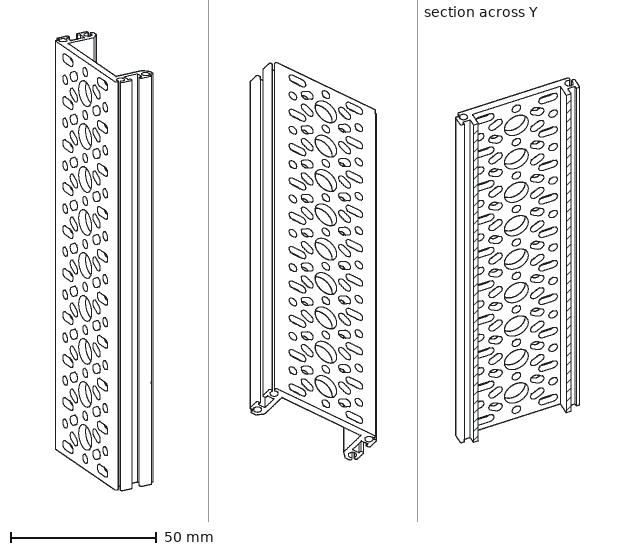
import cadquery as cq
import math

LENGTH = 152.0
WIDTH = 45.0
DEPTH = 15.0

PLATE_THICKNESS = 2.7
LEG_WIDTH = 6.0
LEG_END_CHAMFER = 2.1
EDGE_RADIUS = 0.5

SLOT_DEPTH = 4.1
SLOT_INNER_WIDTH = 5.3
SLOT_MOUTH_WIDTH = 3.2
LIP_THICKNESS = 1.4

CHANNEL_DIAMETER = 2.7
CHANNEL_INSET = 2.6
CORNER_NOTCH = 1.5
GAP_WIDTH = 0.8

BORE_COUNT = 9
PITCH = LENGTH / (BORE_COUNT + 0.5)
BORE_DIAMETER = 9.0
SCREW_DIAMETER = 3.2
FLAT_SLOT_TRAVEL = 3.8
RADIAL_SLOT_TRAVEL = 2.1
SLOT_TILT = 30.0

CIRCLE_RADIUS = PITCH / 2
SIDE_HOLE_X = CIRCLE_RADIUS * 2 * math.cos(math.radians(SLOT_TILT))


def bar(x_min, x_max, y_min, y_max):
    """Full-length rectangular bar between the given X and Y limits."""
    return cq.Workplane("XY").box(x_max - x_min, y_max - y_min, LENGTH).translate(
        ((x_min + x_max) / 2, (y_min + y_max) / 2, 0)
    )


def half_blank():
    """Right half of the U-shaped extrusion, with the inner edge of the leg end chamfered."""
    inner_x = WIDTH / 2 - LEG_WIDTH
    front_y = -DEPTH / 2
    back_y = DEPTH / 2
    outline = [
        (0, front_y),
        (WIDTH / 2, front_y),
        (WIDTH / 2, back_y),
        (inner_x + LEG_END_CHAMFER, back_y),
        (inner_x, back_y - LEG_END_CHAMFER),
        (inner_x, front_y + PLATE_THICKNESS),
        (0, front_y + PLATE_THICKNESS),
    ]
    return cq.Workplane("XY").polyline(outline).close().extrude(LENGTH / 2, both=True)


def t_slot():
    """Volume of the T-slot in the outer face of the right leg."""
    outer_x = WIDTH / 2
    floor_x = outer_x - SLOT_DEPTH
    mouth = bar(floor_x, outer_x, -SLOT_MOUTH_WIDTH / 2, SLOT_MOUTH_WIDTH / 2)
    chamber = bar(floor_x, outer_x - LIP_THICKNESS, -SLOT_INNER_WIDTH / 2, SLOT_INNER_WIDTH / 2)
    return mouth.union(chamber)


def back_corner_cut():
    """Corner notch, screw channel and the diagonal gap joining them, at the back of the right leg."""
    outer_x = WIDTH / 2
    back_y = DEPTH / 2
    notch = bar(outer_x - CORNER_NOTCH, outer_x, back_y - CORNER_NOTCH, back_y)
    channel_axis = cq.Workplane("XY").center(outer_x - CHANNEL_INSET, back_y - CHANNEL_INSET)
    channel = channel_axis.circle(CHANNEL_DIAMETER / 2).extrude(LENGTH / 2, both=True)
    gap_length = CHANNEL_INSET * math.sqrt(2)
    gap = (
        channel_axis.transformed(rotate=(0, 0, 45))
        .rect(gap_length, GAP_WIDTH, centered=(False, True))
        .extrude(LENGTH / 2, both=True)
    )
    return notch.union(channel).union(gap)


def channel_extrusion():
    """Complete channel without plate holes, its exposed outer edges rounded."""
    corner_cut = back_corner_cut()
    half = half_blank().cut(t_slot()).cut(corner_cut).cut(corner_cut.mirror("XZ"))
    half = half.faces(">X").edges("|Z").fillet(EDGE_RADIUS)
    for end_face in ("<Y", ">Y"):
        half = half.faces(end_face).edges("|Z").edges(">X").fillet(EDGE_RADIUS)
    return half.union(half.mirror("YZ"))


def drill(body, points, diameter):
    """Cut round holes through the plate at (x, z) points."""
    holes = cq.Workplane("XZ").pushPoints(points).circle(diameter / 2).extrude(DEPTH, both=True)
    return body.cut(holes)


def mill_slots(body, points, travel, angle):
    """Cut round-ended slots through the plate, centred on (x, z) points and tilted by angle."""
    slots = (
        cq.Workplane("XZ")
        .pushPoints(points)
        .slot2D(travel + SCREW_DIAMETER, SCREW_DIAMETER, angle)
        .extrude(DEPTH, both=True)
    )
    return body.cut(slots)


bore_rows = [PITCH * (i - (BORE_COUNT - 1) / 2) for i in range(BORE_COUNT)]
between_rows = [PITCH * (i - BORE_COUNT / 2) for i in range(BORE_COUNT + 1)]

result = channel_extrusion()

result = drill(result, [(0, z) for z in bore_rows], BORE_DIAMETER)
result = drill(result, [(0, z) for z in between_rows], SCREW_DIAMETER)

radial_reach = CIRCLE_RADIUS - RADIAL_SLOT_TRAVEL / 2
radial_x = SIDE_HOLE_X - radial_reach * math.cos(math.radians(SLOT_TILT))
radial_z = radial_reach * math.sin(math.radians(SLOT_TILT))

for side in (-1, 1):
    result = drill(result, [(side * SIDE_HOLE_X, z) for z in bore_rows], SCREW_DIAMETER)

    flat_x = side * (SIDE_HOLE_X - FLAT_SLOT_TRAVEL / 2)
    result = mill_slots(result, [(flat_x, z) for z in between_rows], FLAT_SLOT_TRAVEL, 0)

    for level in (-1, 1):
        centres = [(side * radial_x, z + level * radial_z) for z in bore_rows]
        result = mill_slots(result, centres, RADIAL_SLOT_TRAVEL, -side * level * SLOT_TILT)